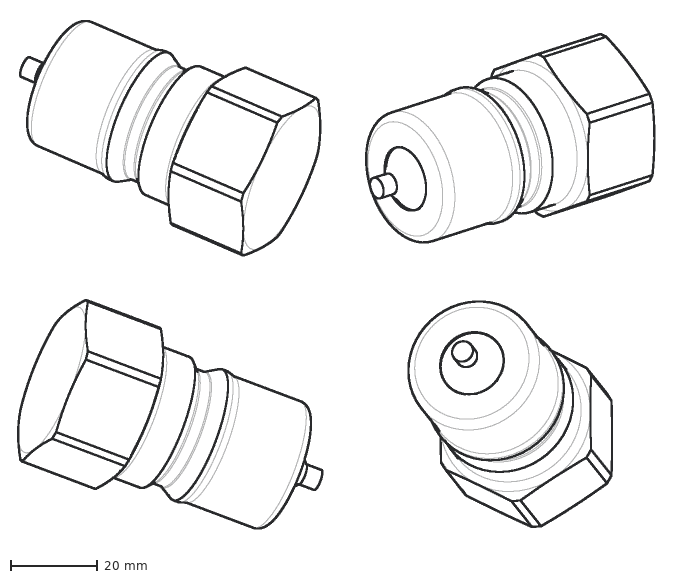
import cadquery as cq
import math

total_length = 68.6

pin_diameter = 5.0
pin_length = 4.0
mouth_diameter = 15.2

nose_face_x = 8.6
nose_diameter = 31.4
nose_radius = 2.0
nose_end_x = 27.9

collar_diameter = 32.5
collar_start_x = 29.7
collar_end_x = 31.0
groove_diameter = 28.5
groove_entry_angle = 30.0
groove_corner_radius = 0.7
shoulder_start_x = 39.5

hex_start_x = 48.6
hex_across_flats = 36.0
hex_across_corners = 40.35
hex_chamfer_angle = 15.0


def radial_leg(inner_diameter, outer_diameter):
    return (outer_diameter - inner_diameter) / 2


def hex_prism(across_flats, turn_angle):
    corner_diameter = across_flats / math.cos(math.radians(30))
    return (
        cq.Workplane("YZ", origin=(hex_start_x, 0, 0))
        .polygon(6, corner_diameter)
        .extrude(total_length - hex_start_x)
        .rotate((0, 0, 0), (1, 0, 0), turn_angle)
    )


def turned_body():
    pin_r = pin_diameter / 2
    mouth_r = mouth_diameter / 2
    nose_r = nose_diameter / 2
    collar_r = collar_diameter / 2
    groove_r = groove_diameter / 2
    flank_r = hex_across_flats / 2

    cone_end_x = pin_length + radial_leg(pin_diameter, mouth_diameter)
    groove_depth = radial_leg(groove_diameter, collar_diameter)
    groove_start_x = collar_end_x + groove_depth / math.tan(math.radians(groove_entry_angle))
    groove_end_x = shoulder_start_x - groove_depth
    root_radius = radial_leg(collar_diameter, hex_across_flats)
    arc_middle = math.sqrt(0.5)

    body = (
        cq.Workplane("XY")
        .moveTo(0, 0)
        .lineTo(0, pin_r)
        .lineTo(pin_length, pin_r)
        .lineTo(cone_end_x, mouth_r)
        .lineTo(nose_face_x, mouth_r)
        .lineTo(nose_face_x, nose_r - nose_radius)
        .threePointArc(
            (nose_face_x + nose_radius * (1 - arc_middle), nose_r - nose_radius * (1 - arc_middle)),
            (nose_face_x + nose_radius, nose_r),
        )
        .lineTo(nose_end_x, nose_r)
        .lineTo(collar_start_x, collar_r)
        .lineTo(collar_end_x, collar_r)
        .lineTo(groove_start_x, groove_r)
        .lineTo(groove_end_x, groove_r)
        .lineTo(shoulder_start_x, collar_r)
        .lineTo(hex_start_x - root_radius, collar_r)
        .threePointArc(
            (hex_start_x - root_radius * (1 - arc_middle), flank_r - root_radius * arc_middle),
            (hex_start_x, flank_r),
        )
        .lineTo(hex_start_x, 0)
        .close()
        .revolve(360, (0, 0, 0), (1, 0, 0))
    )
    groove_floor_edges = cq.selectors.BoxSelector(
        (groove_start_x - groove_corner_radius, -groove_diameter, -groove_diameter),
        (groove_end_x + groove_corner_radius, groove_diameter, groove_diameter),
        boundingbox=True,
    )
    return body.edges(groove_floor_edges).edges("%CIRCLE").fillet(groove_corner_radius)


def chamfered_hex():
    hexagon = hex_prism(hex_across_flats, 30).intersect(hex_prism(hex_across_corners, 0))
    flank_r = hex_across_flats / 2
    limit_r = hex_across_corners / math.sqrt(3)
    chamfer_length = (limit_r - flank_r) * math.tan(math.radians(hex_chamfer_angle))
    envelope = (
        cq.Workplane("XY")
        .polyline([
            (hex_start_x, 0),
            (hex_start_x, flank_r),
            (hex_start_x + chamfer_length, limit_r),
            (total_length - chamfer_length, limit_r),
            (total_length, flank_r),
            (total_length, 0),
        ])
        .close()
        .revolve(360, (0, 0, 0), (1, 0, 0))
    )
    return hexagon.intersect(envelope)


result = turned_body().union(chamfered_hex())